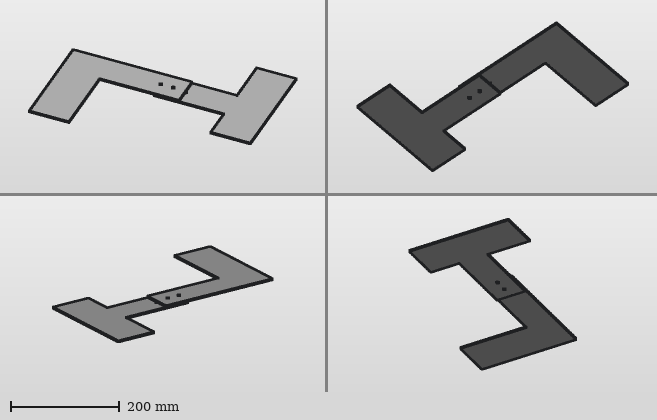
import cadquery as cq

total_length = 410.0
total_width = 290.0
plate_thickness = 3.0

blade_width = 80.0
strip_width = 60.0
corner_plate_length = 240.0
corner_plate_height = 200.0
tee_plate_length = 220.0
tee_blade_height = 210.0
hole_diameter = 5.0

lap_start = total_length - tee_plate_length
lap_end = corner_plate_length
lap_middle = (lap_start + lap_end) / 2
strip_top = corner_plate_height
strip_bottom = strip_top - strip_width
strip_center = (strip_top + strip_bottom) / 2


def drilled_plate(outline, bottom, hole_positions):
    """Extrude a closed outline and drill holes along the strip's centerline."""
    plate = cq.Workplane("XY").workplane(offset=bottom).polyline(outline).close().extrude(plate_thickness)
    holes = (
        cq.Workplane("XY")
        .workplane(offset=bottom)
        .pushPoints([(x, strip_center) for x in hole_positions])
        .circle(hole_diameter / 2)
        .extrude(plate_thickness)
    )
    return plate.cut(holes).solids()


def make_corner_plate():
    """Upper L-shaped plate, with one hole over the end of the tee plate."""
    outline = [
        (0, 0),
        (blade_width, 0),
        (blade_width, strip_bottom),
        (lap_end, strip_bottom),
        (lap_end, strip_top),
        (0, strip_top),
    ]
    return drilled_plate(outline, plate_thickness, [lap_start, lap_middle])


def make_tee_plate():
    """Lower T-shaped plate, with one hole under the end of the corner plate."""
    blade_left = total_length - blade_width
    blade_bottom = total_width - tee_blade_height
    outline = [
        (lap_start, strip_bottom),
        (blade_left, strip_bottom),
        (blade_left, blade_bottom),
        (total_length, blade_bottom),
        (total_length, total_width),
        (blade_left, total_width),
        (blade_left, strip_top),
        (lap_start, strip_top),
    ]
    return drilled_plate(outline, 0, [lap_middle, lap_end])


corner_plate = make_corner_plate()
tee_plate = make_tee_plate()

result = cq.Compound.makeCompound([corner_plate.val(), tee_plate.val()])